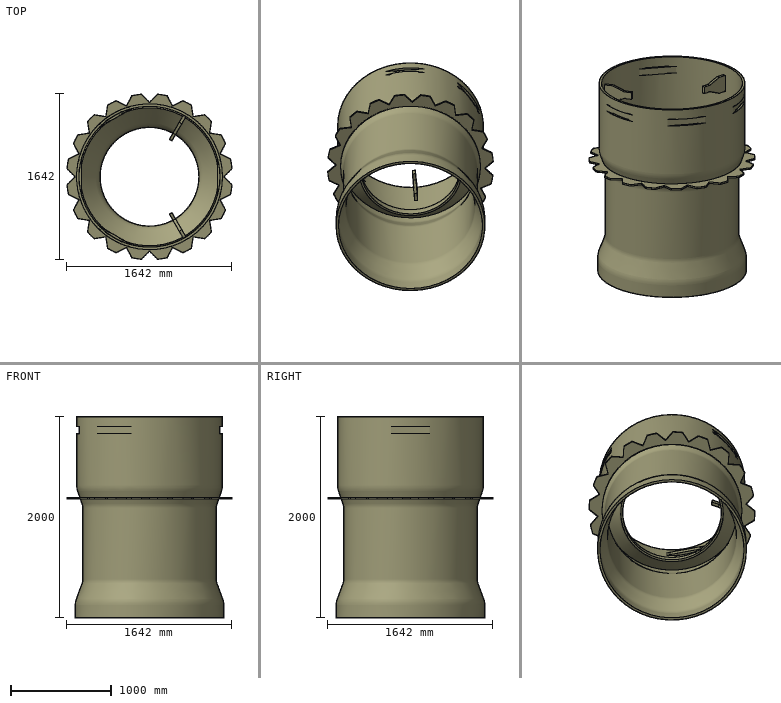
import cadquery as cq
import math

height = 2000.0
head_radius = 1450.0 / 2
head_bore_radius = 1400.0 / 2
wall = head_radius - head_bore_radius
waist_radius = 1330.0 / 2
foot_radius = 1480.0 / 2
head_corner_z = 1285.0
waist_top_z = 1112.0
waist_bottom_z = 360.0
foot_corner_z = 155.0
outward_bend_radius = 160.0
inward_bend_radius = 110.0

flat_angles = [0, 120, 180, 240]
flat_width = 380.0
flat_height = 70.0
flat_top_z = 1900.0

funnel_thickness = 20.0
funnel_rim_radius = head_bore_radius
throat_radius = 980.0 / 2
funnel_rim_z = 1402.0
funnel_slope = 45.0
throat_bend_radius = 140.0
spout_bottom_z = 1100.0

ring_radius = 1650.0 / 2
ring_bore_radius = 1390.0 / 2
ring_thickness = 15.0
ring_top_z = 1198.0
tooth_count = 20
notch_root_radius = 740.0

fin_angles = [60, 300]
fin_thickness = 30.0
fin_tip_radius = 420.0
fin_taper_start_radius = 492.0
fin_taper_end_radius = 615.0
fin_tip_height = 70.0
fin_root_height = 170.0
fin_middle_z = 1815.0


def rounded_outline(corners):
    """Closed XZ outline from (r, z, bend radius) corners; a zero radius stays sharp."""
    segments = []
    for i, (r, z, bend) in enumerate(corners):
        corner = cq.Vector(r, z)
        if bend == 0:
            segments.append([corner])
            continue
        previous = cq.Vector(*corners[i - 1][:2])
        following = cq.Vector(*corners[(i + 1) % len(corners)][:2])
        back = (previous - corner).normalized()
        ahead = (following - corner).normalized()
        half_angle = back.getAngle(ahead) / 2
        setback = bend / math.tan(half_angle)
        apex_distance = bend / math.sin(half_angle) - bend
        apex = corner + (back + ahead).normalized() * apex_distance
        segments.append([corner + back * setback, apex, corner + ahead * setback])

    outline = cq.Workplane("XZ").moveTo(segments[0][0].x, segments[0][0].y)
    for points in segments[1:]:
        outline = outline.lineTo(points[0].x, points[0].y)
        if len(points) > 1:
            outline = outline.threePointArc((points[1].x, points[1].y), (points[2].x, points[2].y))
    return outline.close()


def revolve_about_z(outline):
    return outline.revolve(360, (0, 0, 0), (0, 1, 0))


def mitre_shift(radius_change, cone_height):
    """Height offset of the inner corner where the wall turns from a cylinder into a cone."""
    return wall * math.tan(math.atan2(radius_change, cone_height) / 2)


def make_tube():
    upper_shift = mitre_shift(head_radius - waist_radius, head_corner_z - waist_top_z)
    lower_shift = mitre_shift(foot_radius - waist_radius, waist_bottom_z - foot_corner_z)
    outer_corners = [
        (foot_radius, 0, 0),
        (foot_radius, foot_corner_z, outward_bend_radius),
        (waist_radius, waist_bottom_z, inward_bend_radius),
        (waist_radius, waist_top_z, inward_bend_radius),
        (head_radius, head_corner_z, outward_bend_radius),
        (head_radius, height, 0),
    ]
    inner_corners = [
        (head_bore_radius, height, 0),
        (head_bore_radius, head_corner_z + upper_shift, outward_bend_radius - wall),
        (waist_radius - wall, waist_top_z + upper_shift, inward_bend_radius + wall),
        (waist_radius - wall, waist_bottom_z - lower_shift, inward_bend_radius + wall),
        (foot_radius - wall, foot_corner_z - lower_shift, outward_bend_radius - wall),
        (foot_radius - wall, 0, 0),
    ]
    return revolve_about_z(rounded_outline(outer_corners + inner_corners))


def radial_block(inner, outer, width, block_height, bottom_z, angle):
    """Block lying from inner to outer along the direction given by angle."""
    block = cq.Workplane("XY").box(outer - inner, width, block_height, centered=(False, True, False))
    return block.translate((inner, 0, bottom_z)).rotate((0, 0, 0), (0, 0, 1), angle)


def make_shell():
    shell = make_tube()
    chord_distance = math.sqrt(head_radius**2 - (flat_width / 2) ** 2)
    flat_inner = chord_distance - wall
    bottom_z = flat_top_z - flat_height
    for angle in flat_angles:
        recess = radial_block(chord_distance, head_radius + wall, flat_width, flat_height, bottom_z, angle)
        flat = radial_block(flat_inner, chord_distance, flat_width, flat_height, bottom_z, angle)
        shell = shell.cut(recess).union(flat)
    return shell.solids()


def make_funnel():
    slope = math.radians(funnel_slope)
    rim_step_r = funnel_thickness * math.sin(slope)
    rim_step_z = funnel_thickness * math.cos(slope)
    rim_inner_radius = funnel_rim_radius - rim_step_r
    inner_corner_z = funnel_rim_z - (rim_inner_radius - throat_radius) * math.tan(slope)
    outer_corner_z = inner_corner_z - funnel_thickness * math.tan((math.pi / 2 - slope) / 2)
    spout_radius = throat_radius + funnel_thickness
    return revolve_about_z(rounded_outline([
        (spout_radius, spout_bottom_z, 0),
        (spout_radius, outer_corner_z, throat_bend_radius - funnel_thickness),
        (funnel_rim_radius, funnel_rim_z - rim_step_z, 0),
        (rim_inner_radius, funnel_rim_z, 0),
        (throat_radius, inner_corner_z, throat_bend_radius),
        (throat_radius, spout_bottom_z, 0),
    ]))


def make_ring():
    disc = cq.Workplane("XY").workplane(offset=ring_top_z - ring_thickness)
    ring = disc.circle(ring_radius).circle(ring_bore_radius).extrude(ring_thickness)
    half_width = ring_radius - notch_root_radius
    notch = disc.polyline([
        (notch_root_radius, 0),
        (ring_radius, half_width),
        (ring_radius, -half_width),
    ]).close().extrude(ring_thickness)
    for i in range(tooth_count):
        ring = ring.cut(notch.rotate((0, 0, 0), (0, 0, 1), i * 360 / tooth_count))
    return ring.solids()


def make_fin(angle):
    half_tip = fin_tip_height / 2
    half_root = fin_root_height / 2
    upper_edge = [
        (fin_tip_radius, half_tip),
        (fin_taper_start_radius, half_tip),
        (fin_taper_end_radius, half_root),
        (head_radius, half_root),
    ]
    lower_edge = [(r, -z) for r, z in reversed(upper_edge)]
    plate = cq.Workplane("XZ").polyline(upper_edge + lower_edge).close()
    plate = plate.extrude(fin_thickness / 2, both=True)
    bore = cq.Workplane("XY").circle(head_bore_radius).extrude(fin_root_height / 2, both=True)
    fin = plate.intersect(bore).solids()
    return fin.translate((0, 0, fin_middle_z)).rotate((0, 0, 0), (0, 0, 1), angle)


shell = make_shell()
funnel = make_funnel()
ring = make_ring()
fins = [make_fin(angle) for angle in fin_angles]

result = cq.Compound.makeCompound([
    shell.val(),
    funnel.val(),
    ring.val(),
    *[fin.val() for fin in fins],
])